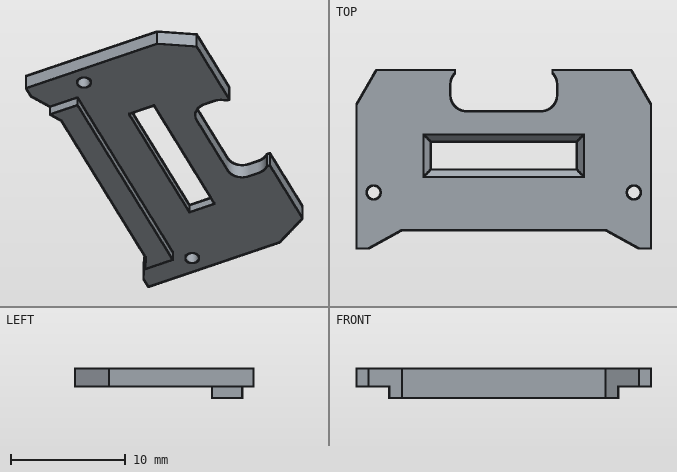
import cadquery as cq
import math

width = 25.7
depth = 15.6
plate_thickness = 1.6
half_width = width / 2

corner_length = 3.0
corner_width = corner_length * math.tan(math.radians(30))

foot_width = 1.05
recess_depth = 1.6
recess_half_width = 8.9

notch_depth = 3.6
notch_half_width = 4.65
mouth_half_width = 4.25
lip_length = 0.3
notch_radius = 1.4

window_length = 12.7
window_height = 2.4
window_center_y = 8.12
bevel_width = 0.65
bevel_depth = 0.65

hole_diameter = 1.2
hole_edge_distance = 1.5
hole_y = 4.9

rib_length = 20.0
rib_height = 1.0
rib_rear_y = 3.65


def plate_outline():
    """Outer outline with the rear corners and the front recess, without the notch."""
    right_side = [
        (recess_half_width, recess_depth),
        (half_width - foot_width, 0),
        (half_width, 0),
        (half_width, depth - corner_length),
        (half_width - corner_width, depth),
    ]
    left_side = [(-x, y) for x, y in reversed(right_side)]
    return cq.Workplane("XY").polyline(right_side + left_side).close()


def notch_cutter():
    """Rear notch: rounded bottom corners and arcs that turn in to the mouth."""
    floor_y = depth - notch_depth
    lip_y = depth - lip_length
    arc_center_x = notch_half_width - notch_radius
    lower_center_y = floor_y + notch_radius
    mouth_angle = math.acos((mouth_half_width - arc_center_x) / notch_radius)
    upper_center_y = lip_y - notch_radius * math.sin(mouth_angle)

    diagonal = notch_radius * math.sqrt(0.5)
    lower_mid_x = arc_center_x + diagonal
    lower_mid_y = lower_center_y - diagonal
    upper_mid_x = arc_center_x + notch_radius * math.cos(mouth_angle / 2)
    upper_mid_y = upper_center_y + notch_radius * math.sin(mouth_angle / 2)

    return (
        cq.Workplane("XY")
        .moveTo(-arc_center_x, floor_y)
        .lineTo(arc_center_x, floor_y)
        .threePointArc((lower_mid_x, lower_mid_y), (notch_half_width, lower_center_y))
        .lineTo(notch_half_width, upper_center_y)
        .threePointArc((upper_mid_x, upper_mid_y), (mouth_half_width, lip_y))
        .lineTo(mouth_half_width, depth)
        .lineTo(-mouth_half_width, depth)
        .lineTo(-mouth_half_width, lip_y)
        .threePointArc((-upper_mid_x, upper_mid_y), (-notch_half_width, upper_center_y))
        .lineTo(-notch_half_width, lower_center_y)
        .threePointArc((-lower_mid_x, lower_mid_y), (-arc_center_x, floor_y))
        .close()
        .extrude(plate_thickness)
    )


def window_cutter():
    """Straight window opening that flares out to the top face."""
    opening = (
        cq.Workplane("XY")
        .center(0, window_center_y)
        .rect(window_length, window_height)
        .extrude(plate_thickness)
    )
    flare = (
        cq.Workplane("XY")
        .workplane(offset=plate_thickness - bevel_depth)
        .center(0, window_center_y)
        .rect(window_length, window_height)
        .workplane(offset=bevel_depth)
        .rect(window_length + 2 * bevel_width, window_height + 2 * bevel_width)
        .loft(ruled=True)
    )
    return opening.union(flare)


def hole_cutter():
    """Pin holes near both sides."""
    hole_x = half_width - hole_edge_distance
    return (
        cq.Workplane("XY")
        .pushPoints([(-hole_x, hole_y), (hole_x, hole_y)])
        .circle(hole_diameter / 2)
        .extrude(plate_thickness)
    )


def front_rib():
    """Rib below the plate whose front follows the plate outline."""
    strip = (
        cq.Workplane("XY")
        .rect(rib_length, 2 * rib_rear_y)
        .extrude(-rib_height)
    )
    return plate_outline().extrude(-rib_height).intersect(strip)


plate = plate_outline().extrude(plate_thickness)
plate = plate.cut(notch_cutter()).cut(window_cutter()).cut(hole_cutter())
result = plate.union(front_rib())